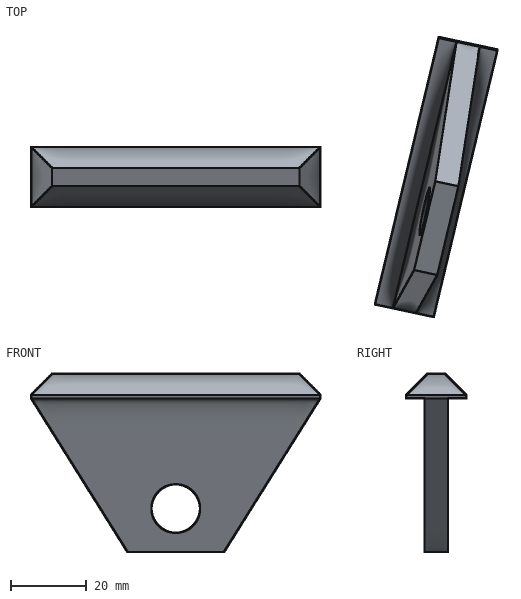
import cadquery as cq

head_length = 76.2
head_width = 15.85
rim_height = 0.9
bevel = 5.6

total_height = 47.0
web_thickness = 6.25
web_bottom_length = 25.4
web_height = total_height - rim_height - bevel

hole_diameter = 12.7
hole_height = 11.5


def make_head():
    """Rectangular bar with all four top edges bevelled, resting on the web."""
    bar = cq.Workplane("XY").workplane(offset=web_height).rect(head_length, head_width)
    return bar.extrude(rim_height + bevel).faces(">Z").edges().chamfer(bevel)


def make_web():
    """Symmetric trapezoid plate with a hole along Y."""
    outline = [
        (-web_bottom_length / 2, 0),
        (web_bottom_length / 2, 0),
        (head_length / 2, web_height),
        (-head_length / 2, web_height),
    ]
    back_plane = cq.Workplane("XZ", origin=(0, web_thickness / 2, 0))
    plate = back_plane.polyline(outline).close().extrude(web_thickness)
    hole = back_plane.center(0, hole_height).circle(hole_diameter / 2).extrude(web_thickness)
    return plate.cut(hole)


result = make_head().union(make_web())